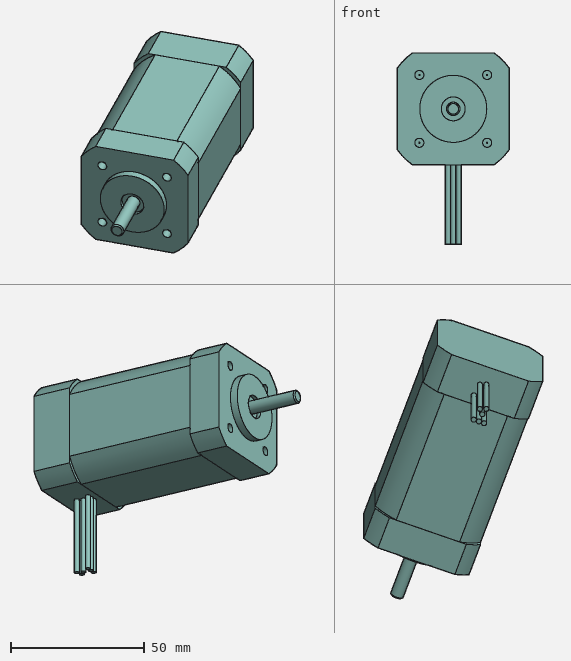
import cadquery as cq

OVERALL_LENGTH = 103
SIDE = 42.0
SHAFT_REACH = 21.9
FRONT_CAP_LENGTH = 12.7
STACK_LENGTH = 52.7
REAR_CAP_LENGTH = OVERALL_LENGTH - SHAFT_REACH - FRONT_CAP_LENGTH - STACK_LENGTH
STACK_FRONT = FRONT_CAP_LENGTH
REAR_CAP_FRONT = STACK_FRONT + STACK_LENGTH

CAP_CORNER_DIAMETER = 52.0
STACK_CORNER_DIAMETER = 49.0

BOSS_DIAMETER = 25.1
BOSS_HEIGHT = 3.0
BORE_DIAMETER = 9.0
BORE_DEPTH = 1.5
SCREW_SPACING = 25.4
SCREW_DIAMETER = 3.4
SCREW_DEPTH = 4.5
PILOT_DIAMETER = 0.4
PILOT_DEPTH = 1

SHAFT_DIAMETER = 5.0
SHAFT_CHAMFER = 0.5

OVERALL_HEIGHT = 71.8
WIRE_DIAMETER = 2.0
WIRE_LENGTH = OVERALL_HEIGHT - SIDE
WIRE_PITCH = 2.1
WIRE_ROW_SETBACK = 3.4
FRONT_WIRES = [(column * WIRE_PITCH, WIRE_ROW_SETBACK) for column in (-1, 0, 1)]
BACK_WIRES = [(-0.2, 6.5), (1.3, 8.1), (-0.9, 9.0)]


def cylinder(diameter, start, end):
    """Cylinder on the motor axis between two Y positions."""
    disc = cq.Workplane("XZ", origin=(0, start, 0)).circle(diameter / 2)
    return disc.extrude(start - end)


def rounded_square(corner_diameter, start, end):
    """Square block whose corners are cut by a cylinder on the motor axis."""
    block = cq.Workplane("XZ", origin=(0, start, 0)).rect(SIDE, SIDE).extrude(start - end)
    return block.intersect(cylinder(corner_diameter, start, end))


def make_hole_pattern(diameter, start, end):
    """Four cylinders on the screw centres between two Y positions."""
    centres = cq.Workplane("XZ", origin=(0, start, 0))
    centres = centres.rect(SCREW_SPACING, SCREW_SPACING, forConstruction=True).vertices()
    return centres.circle(diameter / 2).extrude(start - end)


def make_front_cap():
    """Mounting cap with its pilot boss, blind screw holes with small pilots,
    and the shaft standing in the shallow bore.
    """
    cap = rounded_square(CAP_CORNER_DIAMETER, 0, FRONT_CAP_LENGTH)
    cap = cap.union(cylinder(BOSS_DIAMETER, -BOSS_HEIGHT, 0))
    bore_floor = BORE_DEPTH - BOSS_HEIGHT
    cap = cap.cut(cylinder(BORE_DIAMETER, -BOSS_HEIGHT, bore_floor))
    cap = cap.cut(make_hole_pattern(SCREW_DIAMETER, 0, SCREW_DEPTH))
    cap = cap.cut(make_hole_pattern(PILOT_DIAMETER, SCREW_DEPTH, SCREW_DEPTH + PILOT_DEPTH))
    shaft = cylinder(SHAFT_DIAMETER, -SHAFT_REACH, FRONT_CAP_LENGTH)
    shaft = shaft.faces("<Y").chamfer(SHAFT_CHAMFER)
    return cap.union(shaft)


def make_stack():
    """Plain stator stack between the two caps."""
    return rounded_square(STACK_CORNER_DIAMETER, STACK_FRONT, REAR_CAP_FRONT)


def make_rear_cap():
    """Rear cap with the lead wires attached to its underside."""
    cap = rounded_square(CAP_CORNER_DIAMETER, REAR_CAP_FRONT, REAR_CAP_FRONT + REAR_CAP_LENGTH)
    for x, setback in FRONT_WIRES + BACK_WIRES:
        wire_top = (x, REAR_CAP_FRONT + setback, -SIDE / 2)
        wire = cq.Workplane("XY", origin=wire_top).circle(WIRE_DIAMETER / 2).extrude(-WIRE_LENGTH)
        cap = cap.union(wire)
    return cap


front_cap = make_front_cap()
stack = make_stack()
rear_cap = make_rear_cap()

result = cq.Compound.makeCompound([front_cap.val(), stack.val(), rear_cap.val()])